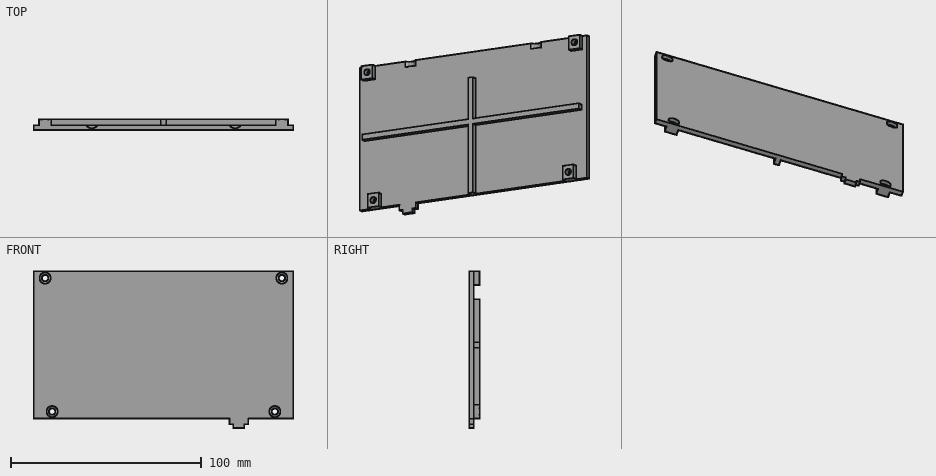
import cadquery as cq

plate_width = 136.1
plate_thickness = 2.6
total_depth = 5.7
total_height = 82.3

tab_center_x = 107.5
tab_root_width = 10.0
tab_root_height = 3.0
tab_tip_width = 5.9
tab_tip_height = 2.0
plate_height = total_height - tab_root_height - tab_tip_height

boss_width = 6.5
boss_depth = 5.6
boss_height = 7.3
upper_boss_inset = 6.0
lower_boss_inset = 9.7
hole_diameter = 3.3
counterbore_diameter = 5.9
counterbore_depth = 2.0

rib_width = 2.9
rib_depth = total_depth - plate_thickness
upright_rib_height = plate_height - 2 * boss_height
cross_rib_end_gap = 3.1
cross_rib_length = plate_width - 2 * cross_rib_end_gap

notch_inset = 30.5
notch_width = 6.1
notch_depth = 1.6
notch_length = 3.0
notch_radius = ((notch_width / 2) ** 2 + notch_depth**2) / (2 * notch_depth)


def block(center_x, y_start, z_bottom, width, depth, height):
    """Box centred in X, growing toward +Y and +Z."""
    corner = (center_x - width / 2, y_start, z_bottom)
    return cq.Workplane("XY").box(width, depth, height, centered=False).translate(corner)


def y_cylinder(x, z, diameter, length):
    """Cylinder along +Y starting on the outer face."""
    return cq.Workplane("XZ").center(x, z).circle(diameter / 2).extrude(-length)


def screw_boss(x, z):
    return block(x, 0, z - boss_height / 2, boss_width, boss_depth, boss_height)


def top_notch(x):
    axis_y = plate_thickness - notch_depth + notch_radius
    notch = cq.Workplane("XY").center(x, axis_y).circle(notch_radius).extrude(notch_length)
    return notch.translate((0, 0, plate_height - notch_length))


center_x = plate_width / 2
body = block(center_x, 0, 0, plate_width, plate_thickness, plate_height)
body = body.union(
    block(tab_center_x, 0, -tab_root_height, tab_root_width, plate_thickness, tab_root_height)
)
body = body.union(
    block(tab_center_x, 0, plate_height - total_height, tab_tip_width, plate_thickness, tab_tip_height)
)

cross_rib_bottom = (plate_height - rib_width) / 2
body = body.union(block(center_x, plate_thickness, 0, rib_width, rib_depth, upright_rib_height))
body = body.union(
    block(center_x, plate_thickness, cross_rib_bottom, cross_rib_length, rib_depth, rib_width)
)

upper_z = plate_height - boss_height / 2
lower_z = boss_height / 2
screw_points = []
for inset, z in ((upper_boss_inset, upper_z), (lower_boss_inset, lower_z)):
    screw_points += [(inset, z), (plate_width - inset, z)]
for x, z in screw_points:
    body = body.union(screw_boss(x, z))
for x, z in screw_points:
    body = body.cut(y_cylinder(x, z, hole_diameter, total_depth))
    body = body.cut(y_cylinder(x, z, counterbore_diameter, counterbore_depth))

for x in (notch_inset, plate_width - notch_inset):
    body = body.cut(top_notch(x))

result = body